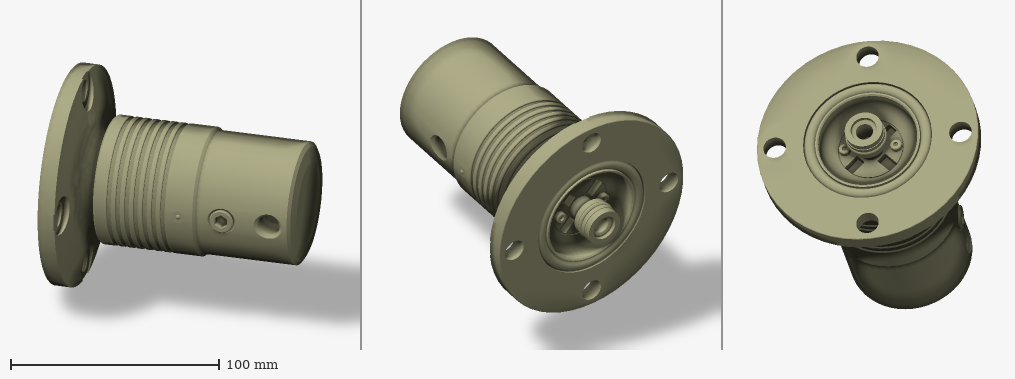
import cadquery as cq
import math


total_length = 130.5
flange_diameter = 107.9
flange_radius = flange_diameter / 2
flange_front = 10.7
flange_back = 19.2
flange_chamfer = 0.3
bolt_circle_radius = 45.3
bolt_hole_diameter = 11.0
bolt_count = 4
spot_face_diameter = 19.0
spot_face_floor = 18.7

sleeve_diameter = 62.8
sleeve_radius = sleeve_diameter / 2
sleeve_start = 31.7
sleeve_front_chamfer = 0.9
sleeve_back_bevel_start = 81.4
sleeve_end = 83.1
groove_count = 7
first_groove_start = 38.6
last_groove_start = 65.5
groove_pitch = (last_groove_start - first_groove_start) / (groove_count - 1)
groove_width = 2.1
groove_floor_diameter = 61.0
groove_floor_radius = groove_floor_diameter / 2
rib_edge_chamfer = 0.3

neck_upper = (21.5, 36.1)
neck_throat = (25.0, 23.5)
neck_end = (sleeve_start, 18.7)
neck_start_slope = (1.0, -9.0)
neck_end_slope = (1.0, -0.4)

rear_radius = 30.0
rear_bevel_start = 128.2
rear_bevel_end = 129.5
rear_bevel_radius = 27.9
rear_flat_radius = 20.5

recess_radius = 24.1
recess_floor = 20.1
recess_fillet = 3.1
lip_chamfer = 0.7

seal_outer_radius = sleeve_radius
seal_inner_radius = 25.6
seal_front = 10.3
seal_section_radius = (seal_outer_radius - seal_inner_radius) / 2
seal_centre_radius = (seal_outer_radius + seal_inner_radius) / 2
seal_centre_x = seal_front + seal_section_radius
seal_groove_floor = seal_front + 2 * seal_section_radius

ring_gap_inner_radius = 15.4
ring_gap_outer_radius = 16.0
ring_gap_depth = 0.7
slot_count = 4
slot_width = 5.4
slot_inner_radius = 7.0
slot_outer_radius = ring_gap_inner_radius
slot_depth = 3.9
pin_offset = 12.5
pin_diameter = 5.5
pin_tip_diameter = 4.8
pin_height = 2.7
pin_hole_diameter = 2.3
pin_hole_depth = 1.3

nozzle_tip_diameter = 18.4
nozzle_tip_radius = nozzle_tip_diameter / 2
nozzle_radius = 9.5
nozzle_step = 3.4
nozzle_head_end = 12.0
nozzle_shoulder = 0.5
stem_radius = 6.0
nozzle_groove_start = 5.7
nozzle_groove_end = 8.5
nozzle_ring_section_radius = 1.2
nozzle_ring_outer_radius = 10.0
nozzle_ring_centre_radius = nozzle_ring_outer_radius - nozzle_ring_section_radius
nozzle_groove_radius = nozzle_ring_centre_radius - nozzle_ring_section_radius
nozzle_ring_centre_x = nozzle_groove_end - nozzle_ring_section_radius
bore_mouth_diameter = 12.7
bore_mouth_depth = 2.0
bore_cone_diameter = 11.0
bore_neck_diameter = 9.5
bore_cone_length = 0.3
bore_diameter = 8.4
bore_depth = 15.7

port_x = 95.7
clamp_port_x = 118.8
port_mouth_diameter = 14.0
port_diameter = 11.0
port_mouth_depth = 1.6
port_depth = 10.5
port_drill_diameter = 8.4
port_drill_depth = 13.0
plug_diameter = 11.9
plug_face_diameter = 10.7
plug_height = 0.9
plug_socket_sides = 6
plug_socket_width = 6.3
plug_socket_depth = 4.2
button_x = 74.4
button_diameter = 6.0
dome_diameter = 2.3
dome_height = 0.5


def revolve_about_x(profile):
    """Turn a closed profile of (X, radius) points around the X axis."""
    return profile.close().revolve(360, (0, 0, 0), (1, 0, 0))


def turned(points):
    return revolve_about_x(cq.Workplane("XY").polyline(points))


def tube(start, end, inner_radius, outer_radius):
    return turned(
        [(start, inner_radius), (end, inner_radius), (end, outer_radius), (start, outer_radius)]
    )


def along_x(start, end, diameter, y=0.0, z=0.0):
    """A cylinder parallel to X between two X positions."""
    direction = cq.Vector(1, 0, 0)
    return cq.Workplane(
        obj=cq.Solid.makeCylinder(diameter / 2, end - start, cq.Vector(start, y, z), direction)
    )


def side_turned(x, side, points):
    """Turn a profile of (radius, distance from the X axis) points around a radial axis at X = x.

    side is -1 for the -Y side and +1 for the +Y side.
    """
    profile = [(x + radius, side * distance) for radius, distance in points]
    return cq.Workplane("XY").polyline(profile).close().revolve(360, (x, 0, 0), (x, 1, 0))


def seal_ring(centre_radius, section_radius, centre_x):
    return (
        cq.Workplane("XY")
        .center(centre_x, centre_radius)
        .circle(section_radius)
        .revolve(360, (0, -centre_radius, 0), (1, -centre_radius, 0))
    )


def housing_blank():
    profile = (
        cq.Workplane("XY")
        .moveTo(flange_front, 0)
        .lineTo(flange_front, flange_radius - flange_chamfer)
        .lineTo(flange_front + flange_chamfer, flange_radius)
        .lineTo(flange_back, flange_radius)
        .spline(
            [neck_upper, neck_throat, neck_end],
            tangents=[neck_start_slope, neck_end_slope],
            includeCurrent=True,
        )
        .lineTo(sleeve_start, sleeve_radius - sleeve_front_chamfer)
        .lineTo(sleeve_start + sleeve_front_chamfer, sleeve_radius)
        .lineTo(sleeve_back_bevel_start, sleeve_radius)
        .lineTo(sleeve_end, rear_radius)
        .lineTo(rear_bevel_start, rear_radius)
        .lineTo(rear_bevel_end, rear_bevel_radius)
        .lineTo(total_length, rear_flat_radius)
        .lineTo(total_length, 0)
    )
    return revolve_about_x(profile)


def cut_sleeve_grooves(body):
    for index in range(groove_count):
        start = first_groove_start + index * groove_pitch
        end = start + groove_width
        groove = turned(
            [
                (start, groove_floor_radius),
                (end, groove_floor_radius),
                (end, sleeve_radius - rib_edge_chamfer),
                (end + rib_edge_chamfer, sleeve_radius),
                (start - rib_edge_chamfer, sleeve_radius),
                (start, sleeve_radius - rib_edge_chamfer),
            ]
        )
        body = body.cut(groove)
    return body


def cut_bolt_holes(body):
    for index in range(bolt_count):
        angle = index * 2 * math.pi / bolt_count
        y = bolt_circle_radius * math.cos(angle)
        z = bolt_circle_radius * math.sin(angle)
        body = body.cut(along_x(flange_front, sleeve_start, bolt_hole_diameter, y, z))
        body = body.cut(along_x(spot_face_floor, sleeve_start, spot_face_diameter, y, z))
    return body


def cut_recess(body):
    fillet_middle = recess_fillet * math.sqrt(0.5)
    profile = (
        cq.Workplane("XY")
        .moveTo(flange_front, 0)
        .lineTo(flange_front, recess_radius + lip_chamfer)
        .lineTo(flange_front + lip_chamfer, recess_radius)
        .lineTo(recess_floor - recess_fillet, recess_radius)
        .threePointArc(
            (
                recess_floor - recess_fillet + fillet_middle,
                recess_radius - recess_fillet + fillet_middle,
            ),
            (recess_floor, recess_radius - recess_fillet),
        )
        .lineTo(recess_floor, 0)
    )
    seal_groove = tube(flange_front, seal_groove_floor, seal_inner_radius, seal_outer_radius)
    return body.cut(revolve_about_x(profile)).cut(seal_groove)


def cut_disc_details(body):
    ring_gap = tube(
        recess_floor, recess_floor + ring_gap_depth, ring_gap_inner_radius, ring_gap_outer_radius
    )
    body = body.cut(ring_gap)
    slot = cq.Workplane("XY").box(
        slot_depth,
        slot_outer_radius - slot_inner_radius,
        slot_width,
        centered=(False, False, True),
    )
    slot = slot.translate((recess_floor, slot_inner_radius, 0))
    for index in range(slot_count):
        angle = (index + 0.5) * 360 / slot_count
        body = body.cut(slot.rotate((0, 0, 0), (1, 0, 0), angle))
    return body


def add_disc_pins(body):
    tip = recess_floor - pin_height
    for side in (-1, 1):
        y = side * pin_offset
        pin = (
            along_x(tip, recess_floor + ring_gap_depth, pin_diameter, y)
            .faces("<X")
            .chamfer((pin_diameter - pin_tip_diameter) / 2)
        )
        body = body.union(pin)
        body = body.cut(along_x(tip, tip + pin_hole_depth, pin_hole_diameter, y))
    return body


def add_nozzle(body):
    nozzle = turned(
        [
            (0, 0),
            (0, nozzle_tip_radius),
            (nozzle_step, nozzle_tip_radius),
            (nozzle_step, nozzle_radius),
            (nozzle_groove_start, nozzle_radius),
            (nozzle_groove_start, nozzle_groove_radius),
            (nozzle_groove_end, nozzle_groove_radius),
            (nozzle_groove_end, nozzle_radius),
            (nozzle_head_end - nozzle_shoulder, nozzle_radius),
            (nozzle_head_end, nozzle_radius - nozzle_shoulder),
            (nozzle_head_end, stem_radius),
            (recess_floor, stem_radius),
            (recess_floor, 0),
        ]
    )
    bore_neck = bore_mouth_depth + bore_cone_length
    bore_start = bore_neck + bore_cone_length
    bore = turned(
        [
            (0, 0),
            (0, bore_mouth_diameter / 2),
            (bore_mouth_depth, bore_mouth_diameter / 2),
            (bore_mouth_depth, bore_cone_diameter / 2),
            (bore_neck, bore_neck_diameter / 2),
            (bore_start, bore_diameter / 2),
            (bore_depth, bore_diameter / 2),
            (bore_depth, 0),
        ]
    )
    return body.union(nozzle).cut(bore)


def port_mouth_profile():
    """Countersink, as (radius, distance) points from the surface inwards."""
    return [
        (0, rear_radius),
        (port_mouth_diameter / 2, rear_radius),
        (port_diameter / 2, rear_radius - port_mouth_depth),
    ]


def cut_open_port(body, x, side):
    drill_step = (port_diameter - port_drill_diameter) / 2
    port = side_turned(
        x,
        side,
        port_mouth_profile()
        + [
            (port_diameter / 2, rear_radius - port_depth),
            (port_drill_diameter / 2, rear_radius - port_depth - drill_step),
            (port_drill_diameter / 2, rear_radius - port_drill_depth),
            (0, rear_radius - port_drill_depth),
        ],
    )
    return body.cut(port)


def add_plugged_port(body, x, side):
    mouth_floor = rear_radius - port_mouth_depth
    face = rear_radius + plug_height
    plug_bevel = (plug_diameter - plug_face_diameter) / 2
    mouth = side_turned(x, side, port_mouth_profile() + [(0, mouth_floor)])
    plug = side_turned(
        x,
        side,
        [
            (0, mouth_floor - plug_bevel),
            (port_diameter / 2, mouth_floor - plug_bevel),
            (port_diameter / 2, mouth_floor),
            (plug_diameter / 2, face - plug_bevel),
            (plug_face_diameter / 2, face),
            (0, face),
        ],
    )
    socket = (
        cq.Workplane("XZ", origin=(x, side * face, 0))
        .transformed(rotate=(0, 0, 90))
        .polygon(plug_socket_sides, plug_socket_width / math.cos(math.pi / plug_socket_sides))
        .extrude(side * plug_socket_depth)
    )
    return body.cut(mouth).union(plug).cut(socket)


def add_bleed_button(body, side):
    """Flat round spot on the sleeve with a small dome in its middle."""
    spot_radius = button_diameter / 2
    flat = math.sqrt(sleeve_radius**2 - spot_radius**2)
    top = sleeve_radius + dome_height
    dome_base = flat - dome_height
    dome_rise = top - flat
    dome_radius = dome_diameter / 2
    sphere_radius = (dome_radius**2 + dome_rise**2) / (2 * dome_rise)
    spot = side_turned(
        button_x, side, [(0, flat), (spot_radius, flat), (spot_radius, top), (0, top)]
    )
    stem = side_turned(
        button_x,
        side,
        [(0, dome_base), (dome_radius, dome_base), (dome_radius, top), (0, top)],
    )
    ball = cq.Workplane("XY").sphere(sphere_radius)
    ball = ball.translate((button_x, side * (top - sphere_radius), 0))
    return body.cut(spot).union(stem.intersect(ball))


def make_housing():
    body = housing_blank()
    body = cut_sleeve_grooves(body)
    body = cut_bolt_holes(body)
    body = cut_recess(body)
    body = add_nozzle(body)
    body = cut_disc_details(body)
    body = add_disc_pins(body)
    body = cut_open_port(body, clamp_port_x, -1)
    body = cut_open_port(body, port_x, 1)
    body = add_plugged_port(body, port_x, -1)
    for side in (-1, 1):
        body = add_bleed_button(body, side)
    return body


housing = make_housing()
flange_seal = seal_ring(seal_centre_radius, seal_section_radius, seal_centre_x)
nozzle_seal = seal_ring(
    nozzle_ring_centre_radius, nozzle_ring_section_radius, nozzle_ring_centre_x
)

result = cq.Compound.makeCompound([housing.val(), flange_seal.val(), nozzle_seal.val()])